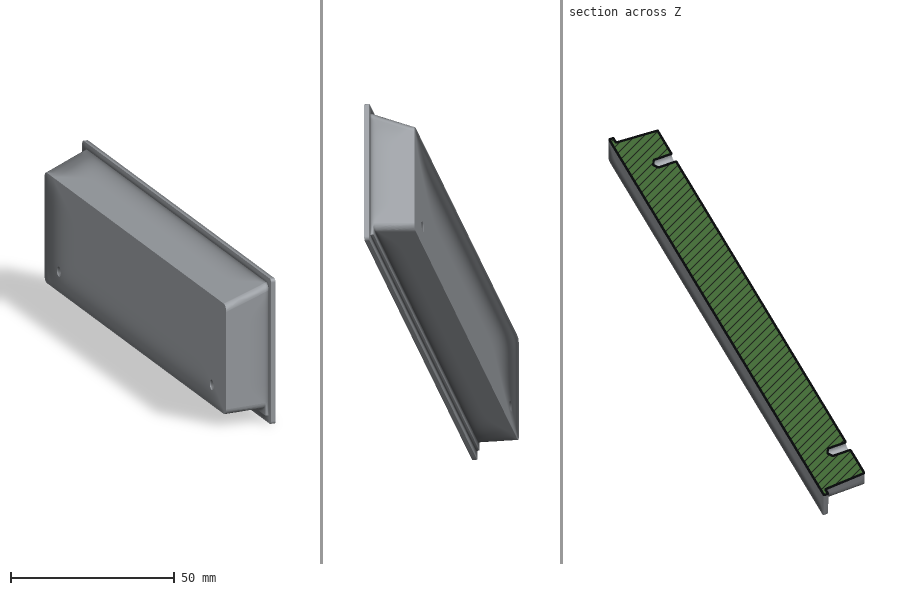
import cadquery as cq
import math

FLANGE_LENGTH = 158.0
FLANGE_HEIGHT = 46.5
FLANGE_THICKNESS = 1.5
FLANGE_CORNER_RADIUS = 1.0

TOTAL_DEPTH = 15.1
BODY_DEPTH = TOTAL_DEPTH - FLANGE_THICKNESS
BASE_SIDE_MARGIN = 2.0
BASE_TOP_MARGIN = 2.0
BASE_BOTTOM_MARGIN = 4.5
SIDE_DRAFT = 4.0
TOP_SLOPE = 22.5
BOTTOM_DRAFT = 4.0
BODY_CORNER_RADIUS = 2.0

LEDGE_THICKNESS = 1.0
LEDGE_BOTTOM = 2.4
LEDGE_TOP = BASE_BOTTOM_MARGIN + BODY_CORNER_RADIUS

HOLE_DIAMETER = 3.2
HOLE_DEPTH = 6.0
HOLE_SPACING = 128.0
HOLE_HEIGHT = 10.0
DRILL_POINT_ANGLE = 118.0

SEATING_DEPTH = 0.5


def rectangle_at(y, length, bottom, top):
    """Rectangular wire in the plane Y = y, centred on X."""
    half = length / 2
    corners = [(-half, bottom), (half, bottom), (half, top), (-half, top)]
    return cq.Wire.makePolygon([cq.Vector(x, y, z) for x, z in corners], close=True)


def make_flange():
    plate = cq.Workplane("XY").box(
        FLANGE_LENGTH, FLANGE_THICKNESS, FLANGE_HEIGHT, centered=(True, False, False)
    )
    return plate.translate((0, -FLANGE_THICKNESS, 0)).edges("|Y").fillet(FLANGE_CORNER_RADIUS)


def make_body():
    """Block whose sides narrow, whose top slopes down and whose underside drops toward the front."""

    def run(angle):
        return BODY_DEPTH * math.tan(math.radians(angle))

    base_length = FLANGE_LENGTH - 2 * BASE_SIDE_MARGIN
    base_top = FLANGE_HEIGHT - BASE_TOP_MARGIN
    base = rectangle_at(-FLANGE_THICKNESS, base_length, BASE_BOTTOM_MARGIN, base_top)
    front = rectangle_at(
        -TOTAL_DEPTH,
        base_length - 2 * run(SIDE_DRAFT),
        BASE_BOTTOM_MARGIN - run(BOTTOM_DRAFT),
        base_top - run(TOP_SLOPE),
    )
    block = cq.Workplane(obj=cq.Solid.makeLoft([base, front], True))
    corner_edges = block.edges("not(<Y or >Y)")
    return corner_edges.fillet(BODY_CORNER_RADIUS)


def make_ledge():
    """Strip as long as the body's base, reaching back into the flange."""
    length = FLANGE_LENGTH - 2 * BASE_SIDE_MARGIN
    height = LEDGE_TOP - LEDGE_BOTTOM
    strip = cq.Workplane("XY").box(
        length, LEDGE_THICKNESS + SEATING_DEPTH, height, centered=(True, False, False)
    )
    return strip.translate((0, -FLANGE_THICKNESS - LEDGE_THICKNESS, LEDGE_BOTTOM))


def make_hole(x):
    """Drill-shaped cutter entering the front face toward +Y."""
    radius = HOLE_DIAMETER / 2
    point_length = radius / math.tan(math.radians(DRILL_POINT_ANGLE / 2))
    half_section = [(0, 0), (radius, 0), (radius, HOLE_DEPTH), (0, HOLE_DEPTH + point_length)]
    cutter = cq.Workplane("ZY").polyline(half_section).close().revolve(360, (0, 0), (0, 1))
    return cutter.translate((x, -TOTAL_DEPTH, HOLE_HEIGHT))


result = make_flange().union(make_body()).union(make_ledge())
for hole_x in (-HOLE_SPACING / 2, HOLE_SPACING / 2):
    result = result.cut(make_hole(hole_x))